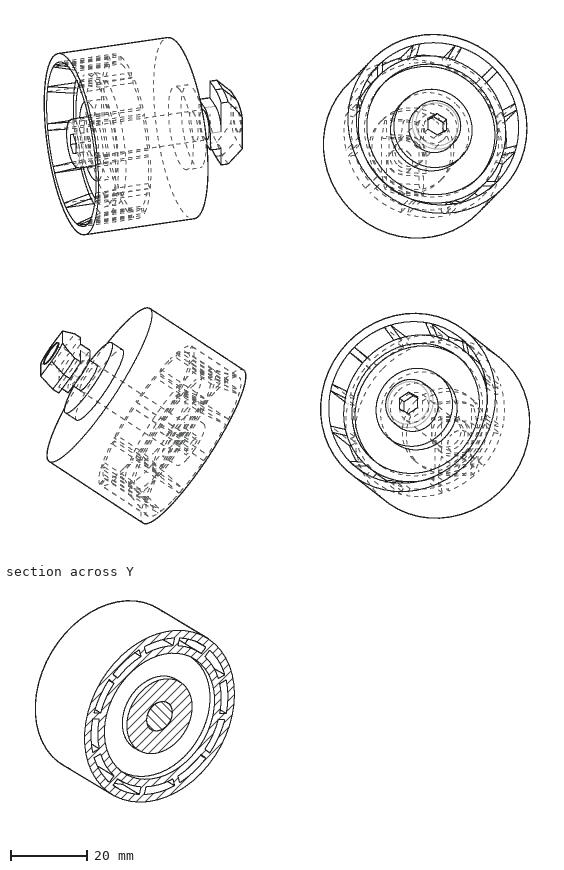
import cadquery as cq
import math


roller_diameter = 48.0
roller_length = 30.0
bore_diameter = 43.5
ring_outer_diameter = 39.5
ring_inner_diameter = 35.0
ring_face_y = 6.7
recess_floor_y = 9.5
groove_floor_y = roller_length / 2
boss_diameter = 21.0
boss_face_y = 5.5
collar_diameter = 22.0
collar_length = 3.5

rib_count = 12
rib_width = 1.8
rib_start_angle = 15.0
rib_overlap = 0.5

shank_diameter = 8.0
shank_length = 40.0
bolt_head_diameter = 13.0
bolt_head_height = 5.0
bolt_head_fillet = 0.8
hex_across_flats = 5.0
hex_depth = 4.0
hex_turn = 30.0
tip_diameter = 6.7
tip_height = 0.2

tee_width = 10.0
tee_length = 19.8
tee_round_diameter = 19.7
tee_face_y = 39.5
tee_neck_length = 3.0
tee_chamfer = 3.9

seat_y = boss_face_y
shank_end_y = seat_y + shank_length
tee_end_y = shank_end_y - tip_height
collar_end_y = roller_length + collar_length


def cylinder(diameter, y_start, y_end):
    """Cylinder on the Y axis between two Y positions."""
    base = cq.Workplane("XZ", origin=(0, y_start, 0))
    return base.circle(diameter / 2).extrude(y_start - y_end)


def tube(outer_diameter, inner_diameter, y_start, y_end):
    """Hollow cylinder on the Y axis."""
    return cylinder(outer_diameter, y_start, y_end).cut(cylinder(inner_diameter, y_start, y_end))


def block(x_range, y_range, z_range):
    """Box given by its limits along each axis."""
    x0, x1 = x_range
    y0, y1 = y_range
    z0, z1 = z_range
    return cq.Workplane("XY").box(x1 - x0, y1 - y0, z1 - z0, centered=False).translate((x0, y0, z0))


def make_rib(angle):
    """Gusset that slopes from the ring edge up to the wall at the open end."""
    ring_radius = ring_outer_diameter / 2
    wall_radius = bore_diameter / 2
    rib_profile = [
        (ring_radius - rib_overlap, ring_face_y),
        (ring_radius, ring_face_y),
        (wall_radius, 0),
        (wall_radius + rib_overlap, 0),
        (wall_radius + rib_overlap, groove_floor_y),
        (ring_radius - rib_overlap, groove_floor_y),
    ]
    rib = cq.Workplane("XY").polyline(rib_profile).close().extrude(rib_width / 2, both=True)
    return rib.rotate((0, 0, 0), (0, 1, 0), angle)


def make_roller():
    """Roller with a recessed, ribbed open end, a collar and a hole for the bolt."""
    body = cylinder(roller_diameter, 0, roller_length)
    body = body.cut(cylinder(bore_diameter, 0, ring_face_y))
    body = body.cut(tube(bore_diameter, ring_outer_diameter, ring_face_y, groove_floor_y))
    body = body.cut(tube(ring_inner_diameter, boss_diameter, ring_face_y, recess_floor_y))
    body = body.union(cylinder(boss_diameter, boss_face_y, ring_face_y))
    for index in range(rib_count):
        body = body.union(make_rib(rib_start_angle + index * 360 / rib_count))
    body = body.union(cylinder(collar_diameter, roller_length, collar_end_y))
    return body.cut(cylinder(shank_diameter, 0, collar_end_y))


def make_bolt_head():
    """Round head with a rounded rim and a hexagonal socket."""
    head_face_y = seat_y - bolt_head_height
    head = cylinder(bolt_head_diameter, head_face_y, seat_y)
    head = head.faces("<Y").edges().fillet(bolt_head_fillet)
    hex_across_corners = hex_across_flats / math.cos(math.radians(30))
    socket = cq.Workplane("XZ", origin=(0, head_face_y, 0)).polygon(6, hex_across_corners).extrude(-hex_depth)
    return head.cut(socket.rotate((0, 0, 0), (0, 1, 0), hex_turn))


def make_tee_head():
    """T-head: two opposite quarters are square, the other two are rounded about the axis."""
    half_width = tee_width / 2
    half_length = tee_length / 2
    neck_start_y = tee_face_y - tee_neck_length
    neck_range = (neck_start_y, tee_face_y)
    bar_profile = [
        (tee_face_y, -half_length),
        (tee_end_y - tee_chamfer, -half_length),
        (tee_end_y, tee_chamfer - half_length),
        (tee_end_y, half_length - tee_chamfer),
        (tee_end_y - tee_chamfer, half_length),
        (tee_face_y, half_length),
    ]
    bar = cq.Workplane("YZ").polyline(bar_profile).close().extrude(half_width, both=True)
    round_bar = cylinder(tee_round_diameter, tee_face_y, tee_end_y).faces(">Y").edges().chamfer(tee_chamfer)

    bar_range = (tee_face_y, tee_end_y)
    square_quarters = block((-half_width, 0), bar_range, (0, half_length))
    square_quarters = square_quarters.union(block((0, half_width), bar_range, (-half_length, 0)))
    head = bar.intersect(round_bar.union(square_quarters))

    neck = cylinder(tee_width, neck_start_y, tee_face_y)
    neck = neck.union(block((-half_width, 0), neck_range, (0, half_width)))
    neck = neck.union(block((0, half_width), neck_range, (-half_width, 0)))
    return head.union(neck)


def make_bolt():
    """Socket-head bolt with its T-head."""
    shank = cylinder(shank_diameter, seat_y, tee_end_y)
    tip = cylinder(tip_diameter, tee_end_y, shank_end_y)
    return make_bolt_head().union(shank).union(make_tee_head()).union(tip)


roller = make_roller()
bolt = make_bolt()
result = cq.Compound.makeCompound([roller.val(), bolt.val()])